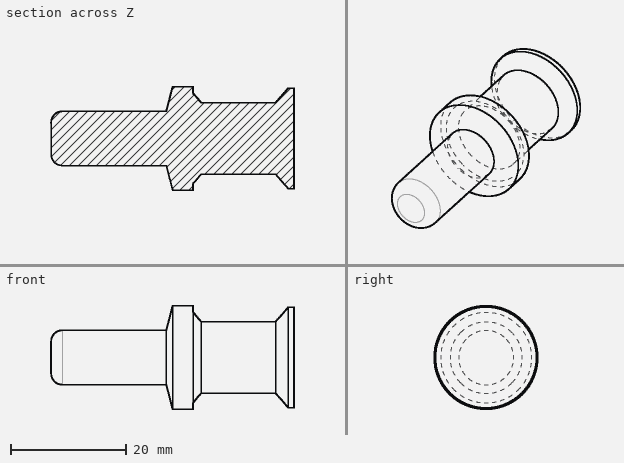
import cadquery as cq

pin_diameter = 9.5
collar_diameter = 18.0
collar_back_cone_diameter = 15.8
neck_diameter = 12.5
rim_diameter = 17.5

collar_cone_start = 20.0
collar_start = 21.1
collar_end = 24.7
neck_start = 26.1
neck_end = 39.0
total_length = 42.2

rim_thickness = 1.0
tip_rounding = 2.0

pin_radius = pin_diameter / 2
collar_radius = collar_diameter / 2
collar_back_cone_radius = collar_back_cone_diameter / 2
neck_radius = neck_diameter / 2
rim_radius = rim_diameter / 2
rim_start = total_length - rim_thickness


def half_section():
    """Closed outline of the part on one side of the X axis."""
    return (
        cq.Workplane("XY")
        .lineTo(0, pin_radius - tip_rounding)
        .tangentArcPoint((tip_rounding, pin_radius), relative=False)
        .lineTo(collar_cone_start, pin_radius)
        .lineTo(collar_start, collar_radius)
        .lineTo(collar_end, collar_radius)
        .lineTo(collar_end, collar_back_cone_radius)
        .lineTo(neck_start, neck_radius)
        .lineTo(neck_end, neck_radius)
        .lineTo(rim_start, rim_radius)
        .lineTo(total_length, rim_radius)
        .lineTo(total_length, 0)
        .close()
    )


result = half_section().revolve(360, (0, 0, 0), (1, 0, 0))